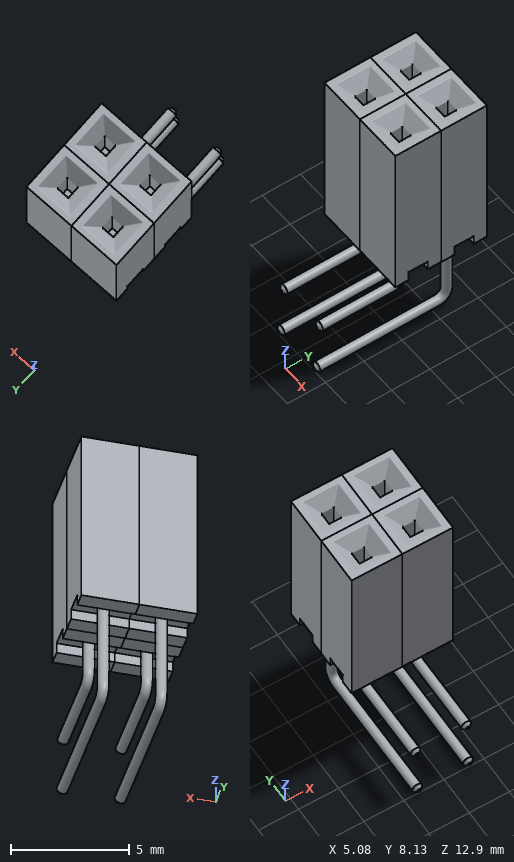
import cadquery as cq

total_height = 12.89
columns = 2
cell_width = 2.54
cell_depth = 2.4
cell_height = 8.5

channel_width = 1.0
channel_depth = 0.5

mouth_size = 1.8
contact_hole_size = 0.6
contact_hole_depth = 2.58
funnel_fillet = 0.05

pin_diameter = 0.5
bend_radius = 0.5
pin_level_step = 2.54
tip_chamfer = 0.15
rear_pin_reach = 8.13
front_pin_reach = 7.99

funnel_depth = (mouth_size - contact_hole_size) / 2
cell_top = total_height
cell_bottom = cell_top - cell_height
channel_top = cell_bottom + channel_depth
rear_leg_z = pin_diameter / 2
front_leg_z = rear_leg_z + pin_level_step
rear_row_y = -cell_depth / 2
front_row_y = rear_row_y - cell_depth


def make_square_funnel(x, y):
    """Sharp-edged square funnel that narrows from the mouth to the contact hole."""
    return (
        cq.Workplane("XY", origin=(x, y, cell_top))
        .rect(mouth_size, mouth_size)
        .workplane(offset=-funnel_depth)
        .rect(contact_hole_size, contact_hole_size)
        .loft(combine=True)
    )


def make_cell(x, y):
    """Rectangular cell with a contact opening on top and a channel along X underneath."""
    block = cq.Workplane("XY", origin=(x, y, cell_bottom)).rect(cell_width, cell_depth).extrude(cell_height)
    channel = (
        cq.Workplane("XY", origin=(x, y, cell_bottom))
        .rect(cell_width, channel_width)
        .extrude(channel_depth)
    )
    contact_hole = (
        cq.Workplane("XY", origin=(x, y, cell_top - funnel_depth))
        .rect(contact_hole_size, contact_hole_size)
        .extrude(-contact_hole_depth)
    )
    cell = block.cut(channel).cut(make_square_funnel(x, y)).cut(contact_hole)

    half_region = mouth_size / 2 + funnel_fillet
    funnel_region = cq.selectors.BoxSelector(
        (x - half_region, y - half_region, cell_top - funnel_depth - funnel_fillet),
        (x + half_region, y + half_region, cell_top + funnel_fillet),
    )
    return cell.edges(funnel_region).fillet(funnel_fillet)


def make_pin(x, y, leg_z, tip_y):
    """Round pin that drops from the channel, bends once and runs toward -Y to a chamfered tip."""
    path = (
        cq.Workplane("YZ", origin=(x, 0, 0))
        .moveTo(y, channel_top)
        .lineTo(y, leg_z + bend_radius)
        .tangentArcPoint((y - bend_radius, leg_z), relative=False)
        .lineTo(tip_y, leg_z)
    )
    pin = cq.Workplane("XY", origin=(x, y, channel_top)).circle(pin_diameter / 2).sweep(path)
    return pin.faces("<Y").chamfer(tip_chamfer)


def make_socket(x, y, leg_z, tip_y):
    """One body: a cell with its pin."""
    return make_cell(x, y).union(make_pin(x, y, leg_z, tip_y))


rear_sockets = []
front_sockets = []
for column in range(columns):
    column_x = (column - (columns - 1) / 2) * cell_width
    rear_sockets.append(make_socket(column_x, rear_row_y, rear_leg_z, -rear_pin_reach).val())
    front_sockets.append(make_socket(column_x, front_row_y, front_leg_z, -front_pin_reach).val())

result = cq.Compound.makeCompound([*rear_sockets, *front_sockets])